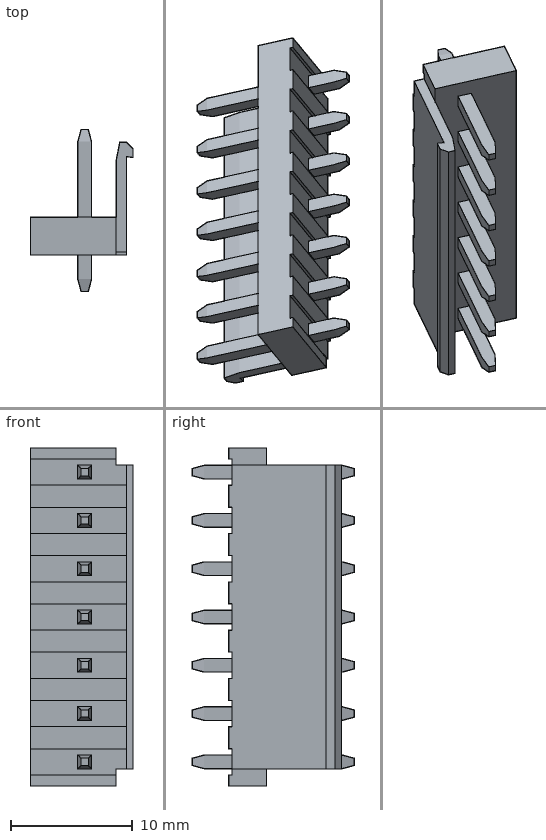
import cadquery as cq


PIN_COUNT = 7
PITCH = 3.96
ROW_LENGTH = PIN_COUNT * PITCH

BODY_WIDTH = 7.03
BODY_DEPTH = 3.1

RIB_WIDTH = 1.82
GROOVE_WIDTH = PITCH - RIB_WIDTH
GROOVE_DEPTH = 0.25

PIN_SIZE = 1.14
PIN_TIP_SIZE = 0.6
PIN_TAPER_LENGTH = 1.0
PIN_X = 4.46
PIN_FRONT_REACH = 3.0
PIN_BACK_REACH = 7.2
PIN_FRONT_Y = -PIN_FRONT_REACH
PIN_BACK_Y = BODY_DEPTH + PIN_BACK_REACH

WALL_END_SETBACK = 1.38
WALL_LENGTH = ROW_LENGTH - 2 * WALL_END_SETBACK
WALL_THICKNESS = 0.86
WALL_OUTER_X = BODY_WIDTH + WALL_THICKNESS
WALL_BACK_Y = 9.26
INNER_BEVEL_LENGTH = 1.54
INNER_BEVEL_WIDTH = 0.3
HOOK_OUTER_X = 8.44
HOOK_ROOT_Y = 8.06
HOOK_LIP_Y = 7.98
HOOK_BEVEL = HOOK_OUTER_X - WALL_OUTER_X


def pin_height(index):
    """Z of a pin axis, counted upward from the lower end of the row."""
    return (index + 0.5) * PITCH


def make_body():
    return cq.Workplane("XY").box(BODY_WIDTH, BODY_DEPTH, ROW_LENGTH, centered=False)


def make_locking_wall():
    """Wall profile in the XY plane, extruded along the row."""
    profile = [
        (BODY_WIDTH, 0),
        (WALL_OUTER_X, 0),
        (WALL_OUTER_X, HOOK_ROOT_Y),
        (HOOK_OUTER_X, HOOK_LIP_Y),
        (HOOK_OUTER_X, WALL_BACK_Y - HOOK_BEVEL),
        (WALL_OUTER_X, WALL_BACK_Y),
        (BODY_WIDTH + INNER_BEVEL_WIDTH, WALL_BACK_Y),
        (BODY_WIDTH, WALL_BACK_Y - INNER_BEVEL_LENGTH),
    ]
    return (
        cq.Workplane("XY", origin=(0, 0, WALL_END_SETBACK))
        .polyline(profile)
        .close()
        .extrude(WALL_LENGTH)
    )


def make_groove(z):
    """Cutter for one front groove, crossing the body and the locking wall."""
    return (
        cq.Workplane("XY", origin=(0, 0, z - GROOVE_WIDTH / 2))
        .box(WALL_OUTER_X, GROOVE_DEPTH, GROOVE_WIDTH, centered=False)
    )


def make_pin_taper(shoulder_y, tip_y, z):
    """Square taper from the full pin section down to the tip."""
    shoulder = cq.Plane(
        origin=(PIN_X, shoulder_y, z),
        xDir=(1, 0, 0),
        normal=(0, tip_y - shoulder_y, 0),
    )
    return (
        cq.Workplane(shoulder)
        .rect(PIN_SIZE, PIN_SIZE)
        .workplane(offset=abs(tip_y - shoulder_y))
        .rect(PIN_TIP_SIZE, PIN_TIP_SIZE)
        .loft(ruled=True)
    )


def make_pin(z):
    front_shoulder_y = PIN_FRONT_Y + PIN_TAPER_LENGTH
    back_shoulder_y = PIN_BACK_Y - PIN_TAPER_LENGTH
    shank = (
        cq.Workplane("XY", origin=(PIN_X, front_shoulder_y, z))
        .box(PIN_SIZE, back_shoulder_y - front_shoulder_y, PIN_SIZE, centered=(True, False, True))
    )
    front_taper = make_pin_taper(front_shoulder_y, PIN_FRONT_Y, z)
    back_taper = make_pin_taper(back_shoulder_y, PIN_BACK_Y, z)
    return shank.union(front_taper).union(back_taper)


result = make_body().union(make_locking_wall())

for pin_index in range(PIN_COUNT):
    result = result.cut(make_groove(pin_height(pin_index)))

for pin_index in range(PIN_COUNT):
    result = result.union(make_pin(pin_height(pin_index)))